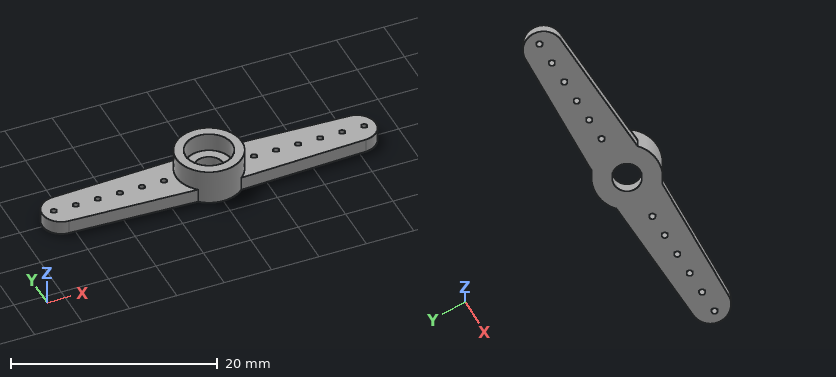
import cadquery as cq
import math

length = 35.2
arm_thickness = 1.5
tip_radius = 2.0
hub_diameter = 6.9
hub_height = 3.8
socket_diameter = 4.9
socket_depth = 2.0
screw_hole_diameter = 2.9
pin_hole_diameter = 0.6
pin_hole_pitch = 2.32
pin_holes_per_arm = 6
outer_pin_hole_x = 16.37
root_x = 2.3

root_y = math.sqrt((hub_diameter / 2) ** 2 - root_x**2)
tip_center_x = length / 2 - tip_radius
root_distance = math.hypot(tip_center_x - root_x, root_y)
root_direction = math.atan2(root_y, root_x - tip_center_x)
tangent_direction = root_direction - math.acos(tip_radius / root_distance)
tangent_x = tip_center_x + tip_radius * math.cos(tangent_direction)
tangent_y = tip_radius * math.sin(tangent_direction)


def make_arms():
    """Flat double arm, tapered from the hub to a round tip at each end."""
    return (
        cq.Workplane("XY")
        .moveTo(-root_x, root_y)
        .lineTo(root_x, root_y)
        .lineTo(tangent_x, tangent_y)
        .threePointArc((length / 2, 0), (tangent_x, -tangent_y))
        .lineTo(root_x, -root_y)
        .lineTo(-root_x, -root_y)
        .lineTo(-tangent_x, -tangent_y)
        .threePointArc((-length / 2, 0), (-tangent_x, tangent_y))
        .close()
        .extrude(arm_thickness)
    )


def make_hub():
    """Round central boss standing above the arms."""
    return cq.Workplane("XY").circle(hub_diameter / 2).extrude(hub_height)


def make_hub_bore():
    """Blind socket from the top, with a smaller screw hole through its floor."""
    socket = (
        cq.Workplane("XY", origin=(0, 0, hub_height - socket_depth))
        .circle(socket_diameter / 2)
        .extrude(socket_depth)
    )
    screw_hole = cq.Workplane("XY").circle(screw_hole_diameter / 2).extrude(hub_height)
    return socket.union(screw_hole)


def make_pin_holes():
    """Row of small through holes along the centreline of both arms."""
    centers = []
    for index in range(pin_holes_per_arm):
        x = outer_pin_hole_x - index * pin_hole_pitch
        centers += [(x, 0), (-x, 0)]
    return cq.Workplane("XY").pushPoints(centers).circle(pin_hole_diameter / 2).extrude(arm_thickness)


result = make_arms().union(make_hub()).cut(make_hub_bore()).cut(make_pin_holes())